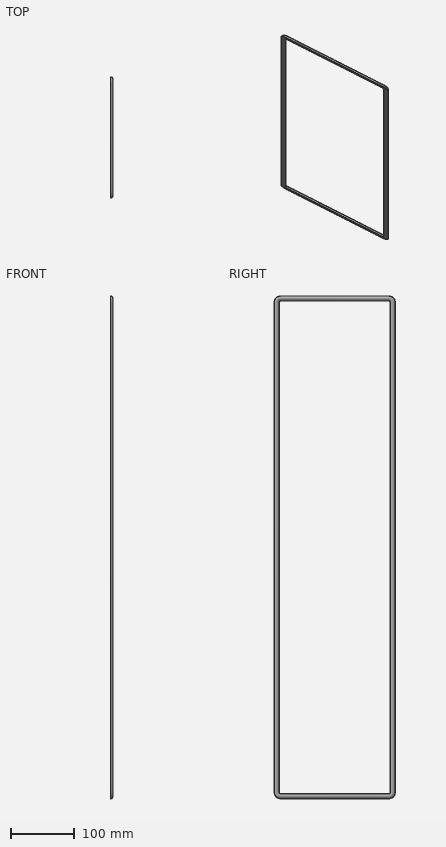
import cadquery as cq

width = 190.5
height = 790.5
bar_radius = 4.0
inner_bend_radius = 2.0

bend_radius = inner_bend_radius + bar_radius
flat_x = -bar_radius / 2

half_width = width / 2 - bar_radius
half_height = height / 2 - bar_radius
straight_width = 2 * (half_width - bend_radius)
straight_height = 2 * (half_height - bend_radius)
centreline = (
    cq.Workplane("YZ", origin=(flat_x, 0, 0))
    .moveTo(half_width, -straight_height / 2)
    .vLine(straight_height)
    .tangentArcPoint((-bend_radius, bend_radius))
    .hLine(-straight_width)
    .tangentArcPoint((-bend_radius, -bend_radius))
    .vLine(-straight_height)
    .tangentArcPoint((bend_radius, -bend_radius))
    .hLine(straight_width)
    .tangentArcPoint((bend_radius, bend_radius))
    .close()
)

section = (
    cq.Workplane("XY", origin=(flat_x, half_width, -straight_height / 2))
    .moveTo(0, -bar_radius)
    .threePointArc((bar_radius, 0), (0, bar_radius))
    .close()
)

result = section.sweep(centreline)